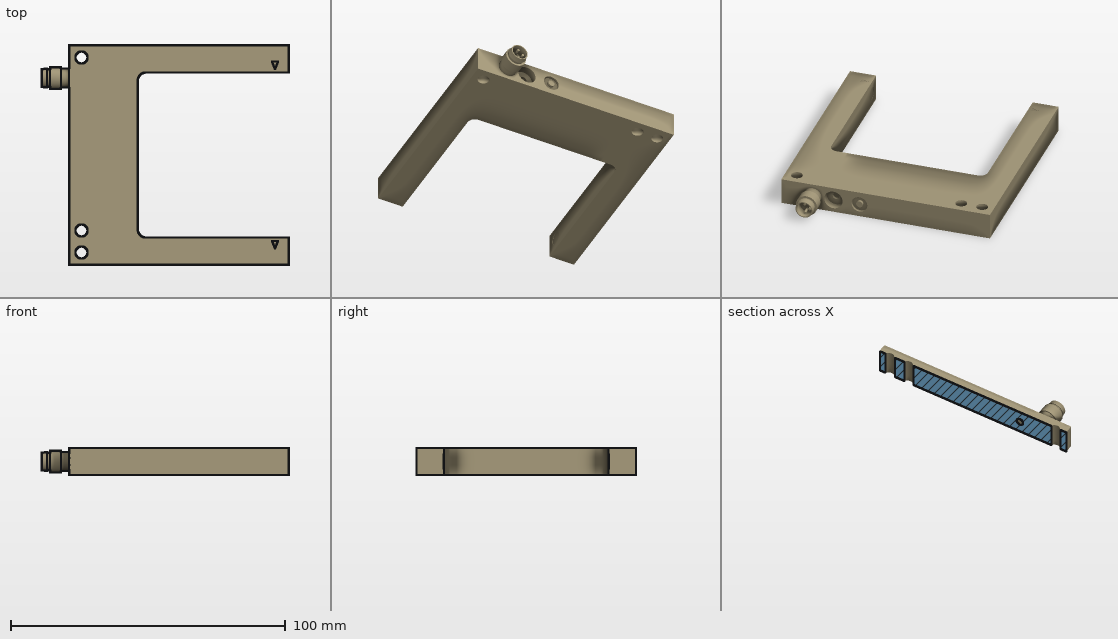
import cadquery as cq

body_size = 80.0
thickness = 10.0
arm_width = 10.0
web_width = 25.0
inner_corner_radius = 3.0
connector_length = 10.0

body_back = -body_size / 2
body_front = body_size / 2
body_side = body_size / 2
opening_half_width = body_side - arm_width

mounting_hole_diameter = 4.3
mounting_hole_inset = 4.5
extra_hole_inset = 12.5

connector_y = body_side - 12.0
collar_diameter = 8.0
collar_length = 4.0
neck_diameter = 7.0
neck_length = 3.0
groove_diameter = 6.5
groove_length = 1.1
tip_diameter = 6.5
barb_diameter = 7.0
tip_length = connector_length - neck_length - collar_length - groove_length
bore_diameter = 5.8
bore_depth = 4.0
pin_diameter = 1.0
pin_offset = 1.8
pin_length = 3.0

adjuster_y = body_side - 20.0
adjuster_diameter = 7.0
adjuster_depth = 3.0
adjuster_hole_diameter = 2.5
adjuster_hole_depth = 1.0
indicator_y = body_side - 30.0
indicator_diameter = 6.0
indicator_depth = 1.0
indicator_lamp_diameter = 2.5

sensor_x = body_front - 5.0
lens_diameter = 5.0
mark_depth = 0.1
arrow_width = 2.2
arrow_length = 2.7
arrow_tip_inset = 1.3
arrow_tip_positions = (
    opening_half_width + arrow_tip_inset,
    -opening_half_width - arrow_tip_inset - arrow_length,
)


def rod_along_x(x_start, y, z, diameter, length):
    """Cylinder with its axis along +X, starting at x_start."""
    return cq.Workplane("YZ", origin=(x_start, y, z)).circle(diameter / 2).extrude(length)


def fork_body():
    """Square plate with a wide opening at the front and three through holes."""
    body = cq.Workplane("XY").box(body_size, body_size, thickness)
    opening_length = body_size - web_width
    opening = (
        cq.Workplane("XY")
        .box(opening_length, 2 * opening_half_width, thickness)
        .edges("|Z and <X")
        .fillet(inner_corner_radius)
        .translate((body_front - opening_length / 2, 0, 0))
    )
    hole_x = body_back + mounting_hole_inset
    hole_points = [
        (hole_x, body_side - mounting_hole_inset),
        (hole_x, -body_side + mounting_hole_inset),
        (hole_x, -body_side + extra_hole_inset),
    ]
    holes = (
        cq.Workplane("XY", origin=(0, 0, -thickness / 2))
        .pushPoints(hole_points)
        .circle(mounting_hole_diameter / 2)
        .extrude(thickness)
    )
    return body.cut(opening).cut(holes)


def connector():
    """Stepped plug with a flared tip, a blind bore and three contact pins."""
    tip_x = body_back - connector_length
    plug = (
        cq.Workplane("YZ", origin=(tip_x, connector_y, 0))
        .circle(tip_diameter / 2)
        .workplane(offset=tip_length)
        .circle(barb_diameter / 2)
        .loft()
    )
    steps = [
        (groove_diameter, groove_length),
        (collar_diameter, collar_length),
        (neck_diameter, neck_length),
    ]
    step_x = tip_x + tip_length
    for diameter, length in steps:
        plug = plug.union(rod_along_x(step_x, connector_y, 0, diameter, length))
        step_x += length
    plug = plug.cut(rod_along_x(tip_x, connector_y, 0, bore_diameter, bore_depth))
    pin_x = tip_x + bore_depth - pin_length
    for y_shift, z in ((0, pin_offset), (0, -pin_offset), (-pin_offset, 0)):
        pin = rod_along_x(pin_x, connector_y + y_shift, z, pin_diameter, pin_length + pin_diameter)
        plug = plug.union(pin)
    return plug


def adjuster_recess():
    """Round recess with a smaller blind hole in its floor."""
    recess = rod_along_x(body_back, adjuster_y, 0, adjuster_diameter, adjuster_depth)
    hole_depth = adjuster_depth + adjuster_hole_depth
    return recess.union(rod_along_x(body_back, adjuster_y, 0, adjuster_hole_diameter, hole_depth))


def indicator_recess():
    """Ring-shaped recess that leaves the lamp standing flush in its middle."""
    recess = rod_along_x(body_back, indicator_y, 0, indicator_diameter, indicator_depth)
    lamp = rod_along_x(body_back, indicator_y, 0, indicator_lamp_diameter, indicator_depth)
    return recess.cut(lamp)


def lens_windows():
    """Shallow round windows in both inner arm faces."""
    return (
        cq.Workplane("XZ", origin=(sensor_x, 0, 0))
        .circle(lens_diameter / 2)
        .extrude(opening_half_width + mark_depth, both=True)
    )


def direction_arrow(tip_y):
    """Shallow triangle in the top face, pointing toward -Y."""
    base_y = tip_y + arrow_length
    return (
        cq.Workplane("XY", origin=(sensor_x, 0, thickness / 2 - mark_depth))
        .polyline([(0, tip_y), (arrow_width / 2, base_y), (-arrow_width / 2, base_y)])
        .close()
        .extrude(mark_depth)
    )


result = fork_body().cut(adjuster_recess()).cut(indicator_recess()).cut(lens_windows())
for arrow_tip_y in arrow_tip_positions:
    result = result.cut(direction_arrow(arrow_tip_y))
result = result.union(connector())